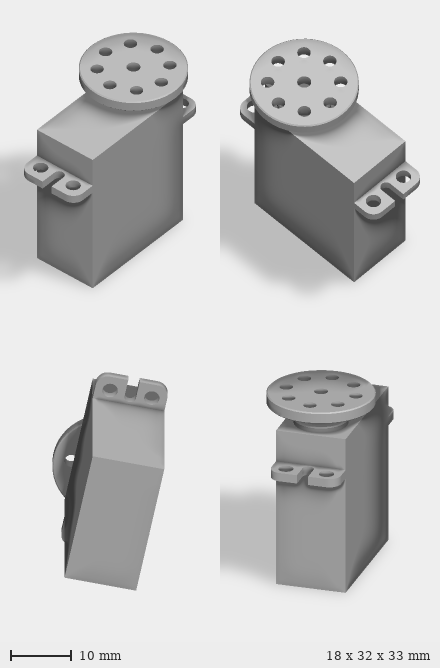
import cadquery as cq

total_height = 33.0
case_width = 12.0
case_length = 23.0
case_height = 27.5

tab_span = 32.0
tab_bottom = 20.5
tab_thickness = 1.5
tab_corner_radius = 2.0
tab_hole_diameter = 2.5
tab_hole_spacing_x = 7.0
front_tab_hole_y = -13.5
rear_tab_hole_y = 14.0
slot_width = 1.9
slot_depth = 4.0

shaft_y = 5.97
collar_diameter = 9.0
collar_height = 1.0
neck_diameter = 7.0
horn_diameter = 18.0
horn_thickness = 2.0
edge_chamfer = 0.2
horn_bottom = total_height - horn_thickness

center_hole_diameter = 2.3
ring_hole_diameter = 2.2
ring_radius = 6.0
ring_hole_count = 8


def shaft_cylinder(diameter, bottom, top):
    """Cylinder on the output shaft axis between two heights."""
    return (
        cq.Workplane("XY", origin=(0, shaft_y, bottom))
        .circle(diameter / 2)
        .extrude(top - bottom)
    )


def make_case():
    return cq.Workplane("XY").box(case_width, case_length, case_height, centered=(True, True, False))


def make_tabs():
    """Rounded plate with two screw holes and an open slot at each end."""
    base = cq.Workplane("XY", origin=(0, 0, tab_bottom))
    plate = (
        base.rect(case_width, tab_span)
        .extrude(tab_thickness)
        .edges("|Z")
        .fillet(tab_corner_radius)
    )
    hole_centers = [
        (x, y)
        for x in (-tab_hole_spacing_x / 2, tab_hole_spacing_x / 2)
        for y in (front_tab_hole_y, rear_tab_hole_y)
    ]
    holes = (
        base.pushPoints(hole_centers)
        .circle(tab_hole_diameter / 2)
        .extrude(tab_thickness)
    )
    slots = (
        base.pushPoints([(0, -tab_span / 2), (0, tab_span / 2)])
        .slot2D(2 * slot_depth, slot_width, 90)
        .extrude(tab_thickness)
    )
    return plate.cut(holes).cut(slots)


def make_horn():
    """Disc with chamfered rims, a centre hole and a ring of holes."""
    disc = shaft_cylinder(horn_diameter, horn_bottom, total_height)
    disc = disc.faces("<Z or >Z").edges().chamfer(edge_chamfer)
    base = cq.Workplane("XY", origin=(0, shaft_y, horn_bottom))
    ring_holes = (
        base.polarArray(ring_radius, 0, 360, ring_hole_count)
        .circle(ring_hole_diameter / 2)
        .extrude(horn_thickness)
    )
    center_hole = shaft_cylinder(center_hole_diameter, horn_bottom, total_height)
    return disc.cut(ring_holes).cut(center_hole)


collar_top = case_height + collar_height
collar = shaft_cylinder(collar_diameter, case_height, collar_top).faces(">Z").edges().chamfer(edge_chamfer)
neck = shaft_cylinder(neck_diameter, collar_top, horn_bottom)

result = make_case().union(make_tabs()).union(collar).union(neck).union(make_horn())